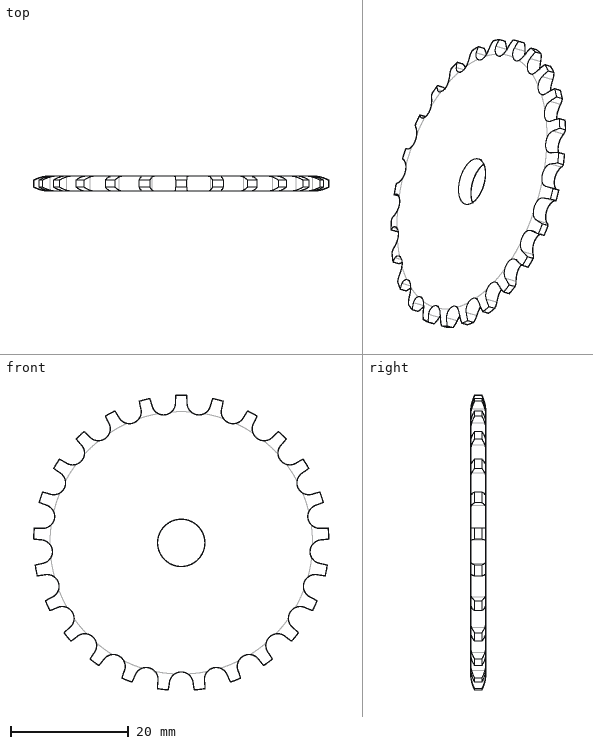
import cadquery as cq
import math


tooth_count = 25
chain_pitch = 6.0
roller_diameter = 4.0
thickness = 2.6
bore_diameter = 8.0
tip_radius = 25.1

side_round_radius = chain_pitch
side_relief = 0.7

flank_radius = 12.96

gap_overshoot = 0.5

tooth_angle = 360.0 / tooth_count
half_tooth_angle = tooth_angle / 2
pitch_radius = chain_pitch / 2 / math.sin(math.radians(half_tooth_angle))
roller_radius = roller_diameter / 2
half_thickness = thickness / 2
half_tip_thickness = half_thickness - side_relief
round_length = math.sqrt(side_round_radius**2 - (side_round_radius - side_relief) ** 2)
face_radius = tip_radius - round_length


def make_blank():
    """Disc with rounded rim sides, revolved about Y from its half section at +Z."""
    return (
        cq.Workplane("YZ")
        .moveTo(-half_thickness, 0)
        .lineTo(-half_thickness, face_radius)
        .tangentArcPoint((-half_tip_thickness, tip_radius), relative=False)
        .lineTo(half_tip_thickness, tip_radius)
        .radiusArc((half_thickness, face_radius), side_round_radius)
        .lineTo(half_thickness, 0)
        .close()
        .revolve(360, (0, 0, 0), (1, 0, 0))
    )


def make_gap():
    """Cutter for the gap at +Z: a round roller seat that runs into two convex tooth flanks."""
    tilt = math.radians(half_tooth_angle)
    flank_x = roller_radius * math.cos(tilt)
    flank_z = pitch_radius - roller_radius * math.sin(tilt)
    flank_centre_x = flank_x + flank_radius * math.cos(tilt)
    flank_centre_z = flank_z - flank_radius * math.sin(tilt)
    top_z = tip_radius + gap_overshoot
    top_x = flank_centre_x - math.sqrt(flank_radius**2 - (top_z - flank_centre_z) ** 2)
    return (
        cq.Workplane("XZ")
        .moveTo(-top_x, top_z)
        .radiusArc((-flank_x, flank_z), flank_radius)
        .threePointArc((0, pitch_radius - roller_radius), (flank_x, flank_z))
        .radiusArc((top_x, top_z), flank_radius)
        .close()
        .extrude(half_thickness, both=True)
    )


def cut_tooth_gaps(blank):
    """Cut one gap midway between each pair of neighbouring teeth."""
    gap = make_gap()
    for index in range(tooth_count):
        angle = half_tooth_angle + index * tooth_angle
        blank = blank.cut(gap.rotate((0, 0, 0), (0, 1, 0), angle))
    return blank


def cut_bore(wheel):
    """Cut the plain shaft bore through the centre."""
    bore = cq.Workplane("XZ").circle(bore_diameter / 2).extrude(half_thickness, both=True)
    return wheel.cut(bore)


result = cut_bore(cut_tooth_gaps(make_blank()))